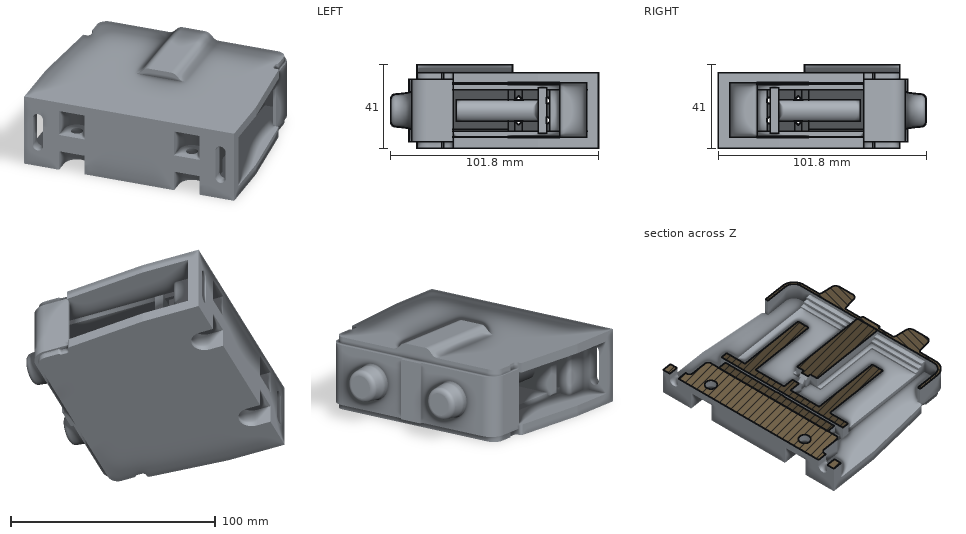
import cadquery as cq
import math

WIDTH = 110.0
HEIGHT = 37.1
HALF_WIDTH = WIDTH / 2
BACK_Y = 88.9
TAPER_START_Y = 29.7
TAPER_END_Y = 71.2
SHOULDER_HALF_WIDTH = 51.3
REAR_HALF_WIDTH = 48.8
REAR_CORNER_RADIUS = 5.0
NOTCH_HALF_WIDTH = 47.8
LOWER_SHOULDER_FILLET = 1.3
NOTCH_FRONT_Y = 72.8
NOTCH_REAR_Y = 75.7
NOTCH_RAMP = REAR_HALF_WIDTH - NOTCH_HALF_WIDTH

CAVITY_Z_LOW = 5.4
CAVITY_Z_HIGH = 32.2
CAVITY_FRONT_Y = 5.7
MID_Z = 18.6

BLOCK_HALF_WIDTH = 42.4
BLOCK_BACK_Y = 19.0
BLOCK_FILLET = 2.0

POCKET_X = 30.1
POCKET_WIDTH = 13.2
POCKET_BACK_Y = 13.8
UPPER_POCKET_Z = 19.2
UPPER_POCKET_HEIGHT = 13.2
LOWER_POCKET_HEIGHT = 10.2
BOLT_HOLE_DIAMETER = 5.9

SLOT_X = 47.8
SLOT_WIDTH = 5.3
SLOT_LENGTH = 20.1

RIDGE_FRONT_Y = 42.1
RIDGE_TOP_Z = 41.0
RIDGE_TOP_HALF_WIDTH = 5.7
RIDGE_FOOT_HALF_WIDTH = 13.1
RIDGE_FLANK_INNER = 8.7
RIDGE_FLANK_OUTER = 10.2
RIDGE_SHOULDER_DROP = 1.2
RIDGE_FOOT_RISE = 1.2

CAP_THICKNESS = 1.8
CAP_HALF_WIDTH = 49.8
CAP_BACK_Y = 91.5
CAP_CORNER_RADIUS = 7.2
CAP_Z_LOW = 3.2
CAP_Z_HIGH = 33.9
CAP_HEIGHT = CAP_Z_HIGH - CAP_Z_LOW
CAP_INNER_HALF_WIDTH = CAP_HALF_WIDTH - CAP_THICKNESS
CAP_INNER_BACK_Y = CAP_BACK_Y - CAP_THICKNESS
CAP_INNER_RADIUS = CAP_CORNER_RADIUS - CAP_THICKNESS
TAB_WIDTH = 11.4
TAB_BACK_Y = 92.8
BOSS_X = 23.9
BOSS_TIP_Y = 101.8
BOSS_FOOT_RADIUS = 9.2
BOSS_BASE_RADIUS = 8.8
BOSS_BASE_Y = 92.8
BOSS_NECK_RADIUS = 8.0
BOSS_NECK_Y = 99.4
BOSS_TIP_RADIUS = 5.7

TRAY_HALF_WIDTH = 37.0
TRAY_FRONT_Y = BLOCK_BACK_Y
TRAY_HEIGHT = 25.6
TRAY_PLATE = 2.8
TRAY_Z_LOW = MID_Z - TRAY_HEIGHT / 2
TRAY_Z_HIGH = MID_Z + TRAY_HEIGHT / 2
TRAY_FLOOR_Z = TRAY_Z_LOW + TRAY_PLATE
TRAY_CEILING_Z = TRAY_Z_HIGH - TRAY_PLATE
TRAY_WALL_BACK_Y = 24.0
TRAY_WALL_HALF_WIDTH = 35.2
STAIR_COUNT = 3
STAIR_FRONT_Y = 82.9
STAIR_TREAD = 2.2
STAIR_FIRST_TOP_Z = 9.5
STAIR_RISE = 1.5
WEB_THICKNESS = 4.4
WEB_REAR_THICKNESS = 13.2
WEB_FOOT_WIDTH = 17.6
WEB_FOOT_TOP_Z = STAIR_FIRST_TOP_Z
WEB_GROOVE_WIDTH = 3.5
WEB_GROOVE_DEPTH = 0.9
WEB_STEP_Y = 44.2
WEB_WINDOW_Y = 39.2
WEB_WINDOW_HALF_DIAGONAL = 7.0
WEB_HOLE_Y = 25.3
WEB_HOLE_RISE = 4.8
WEB_HOLE_DIAMETER = 3.1
PLATE_HALF_WIDTH = 39.2
PLATE_FRONT_Y = 25.4
PLATE_BACK_Y = 29.6
PLATE_HEIGHT = 22.4
PLATE_EDGE_FILLET = 0.8
ROD_RADIUS = 5.2
ROD_END_Y = 69.6


def box(x_low, x_high, y_low, y_high, z_low, z_high):
    """Axis-aligned block between the given limits."""
    size = (x_high - x_low, y_high - y_low, z_high - z_low)
    return cq.Workplane("XY").box(*size, centered=False).translate((x_low, y_low, z_low))


def rear_profile(half_width, back_y, radius, z_low, height):
    """Slab behind the shoulder with two rounded rear corners."""
    slab = box(-half_width, half_width, TAPER_END_Y, back_y, z_low, z_low + height)
    return slab.edges("|Z and >Y").fillet(radius)


def housing_half_outline():
    """Right half of the plate outline, closed along the centre plane."""
    notch_radius = NOTCH_FRONT_Y - TAPER_END_Y
    diagonal = math.sqrt(0.5)
    corner_x = REAR_HALF_WIDTH - REAR_CORNER_RADIUS
    corner_y = BACK_Y - REAR_CORNER_RADIUS
    return (
        cq.Workplane("XY")
        .lineTo(HALF_WIDTH, 0)
        .lineTo(HALF_WIDTH, TAPER_START_Y)
        .lineTo(SHOULDER_HALF_WIDTH, TAPER_END_Y)
        .lineTo(NOTCH_HALF_WIDTH + notch_radius, TAPER_END_Y)
        .threePointArc(
            (
                NOTCH_HALF_WIDTH + notch_radius * (1 - diagonal),
                NOTCH_FRONT_Y - notch_radius * diagonal,
            ),
            (NOTCH_HALF_WIDTH, NOTCH_FRONT_Y),
        )
        .lineTo(NOTCH_HALF_WIDTH, NOTCH_REAR_Y)
        .lineTo(REAR_HALF_WIDTH, NOTCH_REAR_Y + NOTCH_RAMP)
        .lineTo(REAR_HALF_WIDTH, corner_y)
        .threePointArc(
            (corner_x + REAR_CORNER_RADIUS * diagonal, corner_y + REAR_CORNER_RADIUS * diagonal),
            (corner_x, BACK_Y),
        )
        .lineTo(0, BACK_Y)
        .close()
    )


def ridge():
    """Raised rail on the top plate with rounded shoulders and hollow feet."""
    shoulder_z = RIDGE_TOP_Z - RIDGE_SHOULDER_DROP
    foot_z = HEIGHT + RIDGE_FOOT_RISE
    half = (
        cq.Workplane("XZ")
        .moveTo(0, HEIGHT)
        .lineTo(0, RIDGE_TOP_Z)
        .lineTo(RIDGE_TOP_HALF_WIDTH, RIDGE_TOP_Z)
        .tangentArcPoint((RIDGE_FLANK_INNER, shoulder_z), relative=False)
        .lineTo(RIDGE_FLANK_OUTER, foot_z)
        .tangentArcPoint((RIDGE_FOOT_HALF_WIDTH, HEIGHT), relative=False)
        .close()
    )
    solid = half.extrude(RIDGE_FRONT_Y - BACK_Y).translate((0, RIDGE_FRONT_Y, 0))
    return solid.union(solid.mirror("YZ"))


def bolt_pocket(x, z_low, height):
    """Front-opening pocket with a half-round rear end."""
    radius = POCKET_WIDTH / 2
    centre_y = POCKET_BACK_Y - radius
    straight = box(x - radius, x + radius, 0, centre_y, z_low, z_low + height)
    round_end = (
        cq.Workplane("XY").workplane(offset=z_low).center(x, centre_y).circle(radius).extrude(height)
    )
    return straight.union(round_end)


def make_housing():
    half_body = housing_half_outline().extrude(HEIGHT)
    body = half_body.union(half_body.mirror("YZ"))

    around_cap = box(-WIDTH, WIDTH, TAPER_END_Y, WIDTH, CAP_Z_LOW, CAP_Z_HIGH)
    cap_seat = rear_profile(
        CAP_INNER_HALF_WIDTH, CAP_INNER_BACK_Y, CAP_INNER_RADIUS, CAP_Z_LOW, CAP_HEIGHT
    )
    body = body.cut(around_cap).union(cap_seat)

    body = body.cut(box(-WIDTH, WIDTH, CAVITY_FRONT_Y, WIDTH, CAVITY_Z_LOW, CAVITY_Z_HIGH))

    block = box(
        -BLOCK_HALF_WIDTH, BLOCK_HALF_WIDTH, CAVITY_FRONT_Y, BLOCK_BACK_Y, CAVITY_Z_LOW, CAVITY_Z_HIGH
    )
    body = body.union(block.edges("|Z and >Y").fillet(BLOCK_FILLET))
    for side in (-1, 1):
        root = cq.selectors.NearestToPointSelector((side * BLOCK_HALF_WIDTH, CAVITY_FRONT_Y, MID_Z))
        body = body.edges(root).fillet(BLOCK_FILLET)

    for side in (-1, 1):
        corner = (side * SHOULDER_HALF_WIDTH, TAPER_END_Y, CAVITY_Z_LOW / 2)
        body = body.edges(cq.selectors.NearestToPointSelector(corner)).fillet(LOWER_SHOULDER_FILLET)

    body = body.union(ridge())

    hole_y = POCKET_BACK_Y - POCKET_WIDTH / 2
    for side in (-1, 1):
        x = side * POCKET_X
        body = body.cut(bolt_pocket(x, UPPER_POCKET_Z, UPPER_POCKET_HEIGHT))
        body = body.cut(bolt_pocket(x, 0, LOWER_POCKET_HEIGHT))
        hole = cq.Workplane("XY").center(x, hole_y).circle(BOLT_HOLE_DIAMETER / 2)
        body = body.cut(hole.extrude(UPPER_POCKET_Z))
        slot = cq.Workplane("XZ").center(side * SLOT_X, MID_Z).slot2D(SLOT_LENGTH, SLOT_WIDTH, 90)
        body = body.cut(slot.extrude(-CAVITY_FRONT_Y))
    return body


def boss(x):
    """Tapered round boss along Y with a flared foot and rounded tip."""
    profile = (
        cq.Workplane("XY")
        .moveTo(0, CAP_BACK_Y - CAP_THICKNESS / 2)
        .lineTo(BOSS_FOOT_RADIUS, CAP_BACK_Y - CAP_THICKNESS / 2)
        .lineTo(BOSS_FOOT_RADIUS, CAP_BACK_Y)
        .lineTo(BOSS_BASE_RADIUS, BOSS_BASE_Y)
        .lineTo(BOSS_NECK_RADIUS, BOSS_NECK_Y)
        .tangentArcPoint((BOSS_TIP_RADIUS, BOSS_TIP_Y), relative=False)
        .lineTo(0, BOSS_TIP_Y)
        .close()
    )
    return profile.revolve(360, (0, 0, 0), (0, 1, 0)).translate((x, 0, MID_Z))


def make_cap():
    outer = rear_profile(CAP_HALF_WIDTH, CAP_BACK_Y, CAP_CORNER_RADIUS, CAP_Z_LOW, CAP_HEIGHT)
    inner = rear_profile(
        CAP_INNER_HALF_WIDTH, CAP_INNER_BACK_Y, CAP_INNER_RADIUS, CAP_Z_LOW, CAP_HEIGHT
    )
    body = outer.cut(inner)
    body = body.union(
        box(-TAB_WIDTH / 2, TAB_WIDTH / 2, CAP_INNER_BACK_Y, TAB_BACK_Y, CAP_Z_LOW, CAP_Z_HIGH)
    )
    for side in (-1, 1):
        body = body.union(boss(side * BOSS_X))
    return body


def make_tray():
    """Upper and lower plates joined by a slightly narrower front wall."""
    tray = box(
        -TRAY_HALF_WIDTH, TRAY_HALF_WIDTH, TRAY_FRONT_Y, CAP_INNER_BACK_Y, TRAY_Z_LOW, TRAY_Z_HIGH
    )
    tray = tray.cut(box(-WIDTH, WIDTH, TRAY_FRONT_Y, WIDTH, TRAY_FLOOR_Z, TRAY_CEILING_Z))
    wall = box(
        -TRAY_WALL_HALF_WIDTH, TRAY_WALL_HALF_WIDTH, TRAY_FRONT_Y, TRAY_WALL_BACK_Y,
        TRAY_Z_LOW, TRAY_Z_HIGH,
    )
    return tray.union(wall)


def make_stair():
    """Steps rising toward the cap across the rear of the lower tray plate."""
    stair = cq.Workplane("XY")
    for step in range(STAIR_COUNT):
        front_y = STAIR_FRONT_Y + step * STAIR_TREAD
        top_z = STAIR_FIRST_TOP_Z + step * STAIR_RISE
        stair = stair.union(
            box(-TRAY_HALF_WIDTH, TRAY_HALF_WIDTH, front_y, CAP_INNER_BACK_Y, TRAY_Z_LOW, top_z)
        )
    return stair


def make_web():
    """Centre web, thicker at the rear, with a grooved diamond window and two round holes."""
    web_half = WEB_THICKNESS / 2
    web = box(-web_half, web_half, TRAY_FRONT_Y, CAP_INNER_BACK_Y, TRAY_Z_LOW, TRAY_Z_HIGH)

    rear_half = WEB_REAR_THICKNESS / 2
    rear = box(-rear_half, rear_half, WEB_STEP_Y, CAP_INNER_BACK_Y, CAVITY_Z_LOW, CAVITY_Z_HIGH)
    foot_half = WEB_FOOT_WIDTH / 2
    foot = box(-foot_half, foot_half, WEB_STEP_Y, CAP_INNER_BACK_Y, TRAY_Z_LOW, WEB_FOOT_TOP_Z)
    web = web.union(rear).union(foot)

    window_side = WEB_WINDOW_HALF_DIAGONAL * math.sqrt(2)
    window = (
        cq.Workplane("XY")
        .box(WEB_REAR_THICKNESS, window_side, window_side)
        .rotate((0, 0, 0), (1, 0, 0), 45)
        .translate((0, WEB_WINDOW_Y, MID_Z))
    )
    web = web.cut(window)

    groove_front = WEB_WINDOW_Y - WEB_GROOVE_WIDTH / 2
    groove_back = WEB_WINDOW_Y + WEB_GROOVE_WIDTH / 2
    for side in (-1, 1):
        groove_floor = side * (web_half - WEB_GROOVE_DEPTH)
        x_low, x_high = sorted((groove_floor, side * web_half))
        web = web.cut(box(x_low, x_high, groove_front, groove_back, TRAY_FLOOR_Z, TRAY_CEILING_Z))
        hole = cq.Workplane("YZ").center(WEB_HOLE_Y, MID_Z + side * WEB_HOLE_RISE)
        web = web.cut(hole.circle(WEB_HOLE_DIAMETER / 2).extrude(web_half, both=True))
    return web


def make_carrier():
    """Cross plate with two rods."""
    half_height = PLATE_HEIGHT / 2
    carrier = box(
        -PLATE_HALF_WIDTH, PLATE_HALF_WIDTH, PLATE_FRONT_Y, PLATE_BACK_Y,
        MID_Z - half_height, MID_Z + half_height,
    )
    carrier = carrier.edges("|Y").fillet(PLATE_EDGE_FILLET)
    for side in (-1, 1):
        rod = cq.Workplane("XZ").center(side * BOSS_X, MID_Z).circle(ROD_RADIUS)
        rod = rod.extrude(PLATE_BACK_Y - ROD_END_Y).translate((0, PLATE_BACK_Y, 0))
        carrier = carrier.union(rod)
    return carrier


def make_frame():
    return make_tray().union(make_stair()).union(make_web()).union(make_carrier())


housing = make_housing()
cap = make_cap()
frame = make_frame()

result = cq.Compound.makeCompound([housing.val(), cap.val(), frame.val()])